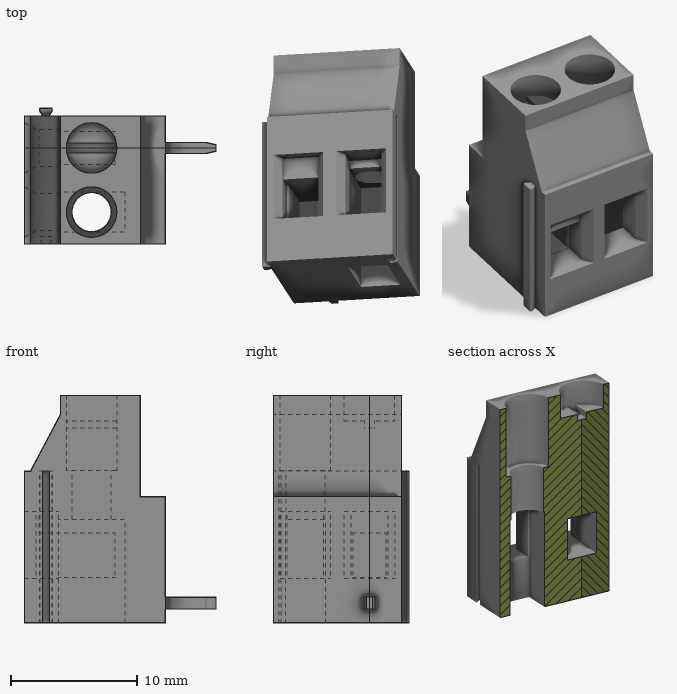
import cadquery as cq

pole_pitch = 5.08
pole_count = 2
width = pole_count * pole_pitch
height = 18.0

base_depth = 11.16
tower_back = 9.18
foot_height = 9.99
tower_front = 2.86
slope_top = 16.5
slope_foot = 0.49
face_height = 12.0

open_pole_y = pole_pitch / 2
closed_pole_y = open_pole_y + pole_pitch
screw_x = 5.33
bore_diameter = 4.0

screw_head_depth = 2.03
slot_width = 0.81
slot_depth = 0.54

counterbore_depth = 5.94
through_diameter = 3.1

entry_width = 4.01
throat_width = 2.92
entry_bottom = 3.51
entry_top = 8.82
funnel_depth = 0.92
lip_x = 1.17
entry_depth = 2.7
closed_lip_z = 7.11

shaft_top = 8.19
shaft_width = 3.17
shaft_length = 2 * (screw_x - entry_depth)

channel_width = 2.63
channel_lip = 0.07
channel_end = 7.2

rail_x = 1.71
rail_neck = 0.54
rail_wide = 1.05
rail_tip = 0.94
rail_wide_height = 0.45
rail_height = 0.61

pin_end = 15.2
pin_width = 0.9
pin_thickness = 0.95
pin_bottom = 1.08
pin_tip_width = 0.5
pin_taper_length = 0.81


def box(x_min, x_max, y_center, y_size, z_min, z_max):
    """Box between X and Z limits, centred on y_center."""
    return (
        cq.Workplane("XY")
        .box(x_max - x_min, y_size, z_max - z_min, centered=(False, True, False))
        .translate((x_min, y_center, z_min))
    )


def make_block():
    """Plain housing block extruded over all poles."""
    outline = [
        (0, 0),
        (base_depth, 0),
        (base_depth, foot_height),
        (tower_back, foot_height),
        (tower_back, height),
        (tower_front, height),
        (tower_front, slope_top),
        (slope_foot, face_height),
        (0, face_height),
    ]
    return cq.Workplane("XZ").polyline(outline).close().extrude(-width)


def make_dovetail(base_y):
    """Dovetail bar whose neck starts at base_y and widens toward +Y."""
    half_outline = [
        (rail_neck / 2, 0),
        (rail_wide / 2, rail_wide_height),
        (rail_tip / 2, rail_height),
    ]
    right_side = [(rail_x + x, base_y + y) for x, y in half_outline]
    left_side = [(rail_x - x, base_y + y) for x, y in reversed(half_outline)]
    return cq.Workplane("XY").polyline(right_side + left_side).close().extrude(face_height)


def make_wire_entry(pole_y, lip_z):
    """Tapered mouth and throat, whose ceiling drops to lip_z behind lip_x."""
    funnel = (
        cq.Workplane("XY", origin=(0, pole_y, entry_bottom))
        .polyline([
            (0, -entry_width / 2),
            (funnel_depth, -throat_width / 2),
            (funnel_depth, throat_width / 2),
            (0, entry_width / 2),
        ])
        .close()
        .extrude(entry_top - entry_bottom)
    )
    front_throat = box(funnel_depth, lip_x, pole_y, throat_width, entry_bottom, entry_top)
    rear_throat = box(lip_x, entry_depth, pole_y, throat_width, entry_bottom, lip_z)
    return funnel.union(front_throat).union(rear_throat)


def make_bore(pole_y, diameter, depth):
    """Vertical cylinder reaching down from the top face, its seam edge turned off the parting plane."""
    return (
        cq.Workplane(cq.Plane(origin=(screw_x, pole_y, height - depth), xDir=(0, 1, 0), normal=(0, 0, 1)))
        .circle(diameter / 2)
        .extrude(depth)
    )


def make_screw_recess():
    """Bore down to the screw head, with the driver slot cut across the head."""
    slotted_bore = make_bore(closed_pole_y, bore_diameter, screw_head_depth + slot_depth)
    head_z = height - screw_head_depth
    slot = box(0, base_depth, closed_pole_y, slot_width, head_z - slot_depth, head_z)
    slot = slot.intersect(slotted_bore)
    return make_bore(closed_pole_y, bore_diameter, screw_head_depth).union(slot)


def make_open_hole():
    """Counterbored hole through the full height of the open pole."""
    counterbore = make_bore(open_pole_y, bore_diameter, counterbore_depth)
    return counterbore.union(make_bore(open_pole_y, through_diameter, height))


def make_pin():
    """Horizontal pin on the back face with a tip narrowed in width."""
    taper_start = pin_end - pin_taper_length
    return (
        cq.Workplane("XY", origin=(0, closed_pole_y, pin_bottom))
        .polyline([
            (base_depth, -pin_width / 2),
            (taper_start, -pin_width / 2),
            (pin_end, -pin_tip_width / 2),
            (pin_end, pin_tip_width / 2),
            (taper_start, pin_width / 2),
            (base_depth, pin_width / 2),
        ])
        .close()
        .extrude(pin_thickness)
    )


def make_terminal_shape():
    """Whole connector before it is parted."""
    channel_floor = entry_bottom + channel_lip
    channel = box(entry_depth, channel_end, closed_pole_y, channel_width, channel_floor, closed_lip_z)
    shaft = box(entry_depth, entry_depth + shaft_length, open_pole_y, shaft_width, 0, shaft_top)
    return (
        make_block()
        .union(make_dovetail(width))
        .union(make_pin())
        .cut(make_dovetail(0))
        .cut(make_wire_entry(closed_pole_y, closed_lip_z))
        .cut(make_wire_entry(open_pole_y, entry_top))
        .cut(shaft)
        .cut(channel)
        .cut(make_screw_recess())
        .cut(make_open_hole())
    )


terminal_shape = make_terminal_shape()
end_width = width + rail_height - closed_pole_y
end_section = terminal_shape.intersect(
    box(0, pin_end, closed_pole_y + end_width / 2, end_width, 0, height)
)
main_section = terminal_shape.intersect(
    box(0, pin_end, closed_pole_y / 2, closed_pole_y, 0, height)
)

result = cq.Compound.makeCompound([main_section.val(), end_section.val()])